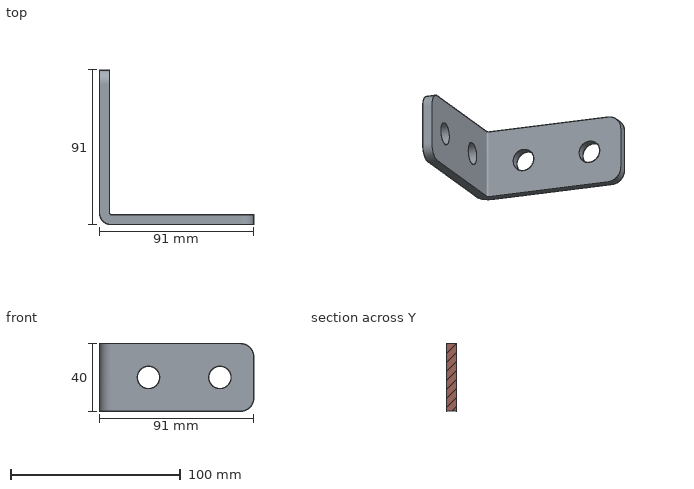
import cadquery as cq

leg_length = 91.0
width = 40.0
thickness = 6.0
inner_bend_radius = 1.0
corner_radius = 8.0
hole_diameter = 13.0
hole_end_distance = 20.0
hole_spacing = 42.0

outer_bend_radius = inner_bend_radius + thickness
mid_width = width / 2
hole_distances = [
    leg_length - hole_end_distance,
    leg_length - hole_end_distance - hole_spacing,
]


def bent_strip():
    """L-shaped strip with its outer faces on X = 0 and Y = 0."""
    strip = (
        cq.Workplane("XY")
        .polyline([
            (0, 0),
            (leg_length, 0),
            (leg_length, thickness),
            (thickness, thickness),
            (thickness, leg_length),
            (0, leg_length),
        ])
        .close()
        .extrude(width)
    )
    inner_edge = cq.selectors.NearestToPointSelector((thickness, thickness, mid_width))
    strip = strip.edges("|Z").edges(inner_edge).fillet(inner_bend_radius)
    outer_edge = cq.selectors.NearestToPointSelector((0, 0, mid_width))
    return strip.edges("|Z").edges(outer_edge).fillet(outer_bend_radius)


def round_free_corners(body):
    """Round the two corners at the free end of each leg."""
    body = body.faces(">X").edges("|Y").fillet(corner_radius)
    return body.faces(">Y").edges("|X").fillet(corner_radius)


def leg_hole_cutters(distance):
    """Cylinders through both legs at one distance from the outside corner."""
    radius = hole_diameter / 2
    x_leg_hole = cq.Solid.makeCylinder(
        radius, thickness, cq.Vector(distance, 0, mid_width), cq.Vector(0, 1, 0)
    )
    y_leg_hole = cq.Solid.makeCylinder(
        radius, thickness, cq.Vector(0, distance, mid_width), cq.Vector(1, 0, 0)
    )
    return x_leg_hole, y_leg_hole


result = round_free_corners(bent_strip())
for hole_distance in hole_distances:
    for cutter in leg_hole_cutters(hole_distance):
        result = result.cut(cutter)